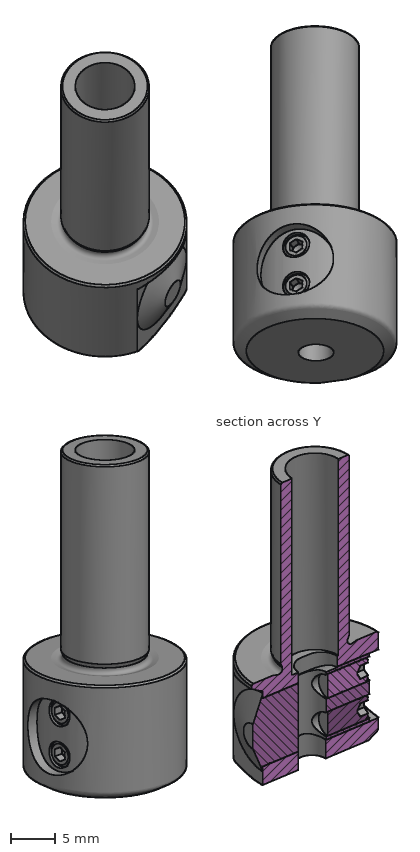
import cadquery as cq
import math


total_height = 39.0
head_radius = 9.25
head_height = 14.0
head_top_chamfer = 0.25
head_bottom_radius = 7.75
head_bottom_angle = math.radians(30)
head_bottom_round = 0.6
shank_radius = 5.0
shank_chamfer = 0.2
shank_bore_radius = 3.35
shank_bore_floor = 13.0

neck_radius = 4.75
taper_top = 1.05
taper_bottom = 0.5
relief_outer_radius = 6.1
relief_round_outer_radius = 5.42
relief_angle = math.radians(15)

flat_x = 7.6
flat_top = 12.4
flat_runout_angle = math.radians(30)

tool_hole_radius = 2.0
tool_hole_x = 0.43
slot_radius = 2.22
slot_left_center_x = -0.95
slot_right_center_x = tool_hole_x + tool_hole_radius - slot_radius

pin_radius = 4.5
pin_height = head_height / 2
pin_end_radius = 7.9
pin_head_base_radius = 5.2
pin_head_tip_radius = 1.65
pin_head_tip_x = 9.05

screw_radius = 1.55
screw_spacing = 5.0
screw_outer_x = -7.72
screw_length = 5.93
screw_chamfer = 0.3
socket_flats = 1.5
socket_depth = 1.17
socket_point_angle = math.radians(30)
screw_heights = [pin_height - screw_spacing / 2, pin_height + screw_spacing / 2]


def x_cylinder(radius, start_x, end_x, height):
    """Cylinder along X, centred on Y = 0 at the given height."""
    plane = cq.Workplane("YZ", origin=(start_x, 0, height))
    return plane.circle(radius).extrude(end_x - start_x)


def make_tool_hole():
    return cq.Workplane("XY").center(tool_hole_x, 0).circle(tool_hole_radius).extrude(pin_height + pin_radius)


def make_turned_blank():
    """Revolved head and shank, with the relief groove around the neck."""
    bottom_chamfer_height = (head_radius - head_bottom_radius) * math.tan(head_bottom_angle)
    round_radius = (relief_round_outer_radius - neck_radius) / (1 + math.sin(relief_angle))
    groove_depth = (relief_outer_radius - relief_round_outer_radius) * math.tan(relief_angle)
    round_center_x = neck_radius + round_radius
    round_center_z = head_height - groove_depth + round_radius * math.cos(relief_angle)
    mid_angle = (math.pi + 1.5 * math.pi + relief_angle) / 2
    round_middle = (
        round_center_x + round_radius * math.cos(mid_angle),
        round_center_z + round_radius * math.sin(mid_angle),
    )
    profile = (
        cq.Workplane("XZ")
        .moveTo(0, 0)
        .lineTo(head_bottom_radius, 0)
        .lineTo(head_radius, bottom_chamfer_height)
        .lineTo(head_radius, head_height - head_top_chamfer)
        .lineTo(head_radius - head_top_chamfer, head_height)
        .lineTo(relief_outer_radius, head_height)
        .lineTo(relief_round_outer_radius, head_height - groove_depth)
        .threePointArc(round_middle, (neck_radius, round_center_z))
        .lineTo(neck_radius, head_height + taper_bottom)
        .lineTo(shank_radius, head_height + taper_top)
        .lineTo(shank_radius, total_height - shank_chamfer)
        .lineTo(shank_radius - shank_chamfer, total_height)
        .lineTo(0, total_height)
        .close()
    )
    blank = profile.revolve(360, (0, 0, 0), (0, 1, 0))
    bottom_corner = cq.selectors.BoxSelector(
        (-2 * head_radius, -2 * head_radius, 0.5 * bottom_chamfer_height),
        (2 * head_radius, 2 * head_radius, 1.5 * bottom_chamfer_height),
    )
    return blank.edges(bottom_corner).edges("%CIRCLE").fillet(head_bottom_round)


def make_flat_cutter():
    """Material removed on the +X side, with a sloping run-out at the top."""
    outer_x = head_radius + 0.4
    runout_top = flat_top + (outer_x - flat_x) * math.tan(flat_runout_angle)
    outline = [(flat_x, 0), (outer_x, 0), (outer_x, runout_top), (flat_x, flat_top)]
    return cq.Workplane("XZ").polyline(outline).close().extrude(head_radius, both=True)


def make_slot():
    """Rounded slot from the floor of the shank bore down into the pin hole."""
    return (
        cq.Workplane("XY", origin=(0, 0, pin_height))
        .center((slot_left_center_x + slot_right_center_x) / 2, 0)
        .slot2D(slot_right_center_x - slot_left_center_x + 2 * slot_radius, 2 * slot_radius)
        .extrude(shank_bore_floor - pin_height)
    )


def make_housing():
    shank_bore = (
        cq.Workplane("XY", origin=(0, 0, shank_bore_floor))
        .circle(shank_bore_radius)
        .extrude(total_height - shank_bore_floor)
    )
    pin_hole = x_cylinder(pin_radius, -head_radius, head_radius, pin_height)
    housing = make_turned_blank().cut(make_flat_cutter()).cut(shank_bore)
    return housing.cut(make_slot()).cut(make_tool_hole()).cut(pin_hole)


def make_pin():
    """Round pin with a curved -X end and a conical head that rests on the flat."""
    end_shape = cq.Workplane("XY").circle(pin_end_radius).extrude(head_height)
    body = x_cylinder(pin_radius, -head_radius, flat_x, pin_height).intersect(end_shape)
    head = (
        cq.Workplane("YZ", origin=(flat_x, 0, pin_height))
        .circle(pin_head_base_radius)
        .workplane(offset=pin_head_tip_x - flat_x)
        .circle(pin_head_tip_radius)
        .loft()
    )
    pin = body.union(head).cut(make_tool_hole())
    for height in screw_heights:
        pin = pin.cut(x_cylinder(screw_radius, -head_radius, tool_hole_x, height))
    return pin


def make_screw(height):
    """Set screw with a chamfered outer end and a hexagon socket with a drill point."""
    screw = x_cylinder(screw_radius, screw_outer_x, screw_outer_x + screw_length, height)
    screw = screw.faces("<X").chamfer(screw_chamfer)
    socket = (
        cq.Workplane("YZ", origin=(screw_outer_x, 0, height))
        .transformed(rotate=(0, 0, 90))
        .polygon(6, socket_flats / math.cos(math.pi / 6))
        .extrude(socket_depth)
    )
    point_radius = socket_flats / 2
    drill_point = cq.Workplane(
        cq.Solid.makeCone(
            point_radius,
            0,
            point_radius * math.tan(socket_point_angle),
            cq.Vector(screw_outer_x + socket_depth, 0, height),
            cq.Vector(1, 0, 0),
        )
    )
    return screw.cut(socket).cut(drill_point)


housing = make_housing()
pin = make_pin()
screws = [make_screw(height) for height in screw_heights]

result = cq.Compound.makeCompound(
    [
        housing.solids().val(),
        pin.solids().val(),
        *[screw.solids().val() for screw in screws],
    ]
)